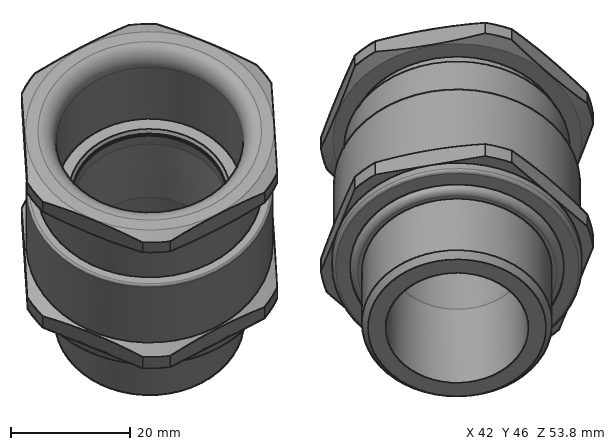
import cadquery as cq
import math

across_flats = 42.0
across_corners = 46.0
corner_radius = across_corners / 2

entry_top = 16.0
flange_top = 18.0
body_hex_top = 22.1
seat_level = 35.0
body_top = 38.0
neck_bottom = 47.1
nut_hex_bottom = 49.55
total_height = 53.75

entry_radius = 15.95
entry_chamfer_width = 1.0
entry_chamfer_height = 1.2
flange_fillet = 0.6
sleeve_radius = 20.7
sleeve_fillet = 0.45
body_hex_chamfer_drop = 0.9

body_bore_radius = 13.05
entry_bore_radius = 12.0
taper_top = 32.8
taper_bottom = 19.35

collar_radius = 19.0
neck_radius = 17.95
nut_bottom = 35.25
nut_bore_radius = 15.7
mouth_fillet = 3.05
ledge_level = 36.25
ledge_hole_radius = body_bore_radius
ledge_hole_chamfer = 0.55
nut_face_radius = 20.85
nut_hex_chamfer_drop = 0.7

ring_height = 1.35
ring_outer_radius = 17.95
ring_round = 1.3


def cylinder(radius, bottom, top):
    return cq.Workplane("XY").workplane(offset=bottom).circle(radius).extrude(top - bottom)


def revolved(points):
    """Turn a closed (radius, height) outline about the Z axis."""
    return cq.Workplane("XZ").polyline(points).close().revolve(360, (0, 0, 0), (0, 1, 0))


def hexagon(bottom, top):
    """Hexagonal prism with flats facing +X and -X."""
    half_sector = 30
    circumscribed = across_flats / math.cos(math.radians(half_sector))
    return (
        cq.Workplane("XY")
        .workplane(offset=bottom)
        .transformed(rotate=(0, 0, half_sector))
        .polygon(6, circumscribed)
        .extrude(top - bottom)
    )


def make_body():
    hex_limit = revolved([
        (0, flange_top),
        (corner_radius, flange_top),
        (corner_radius, body_hex_top - body_hex_chamfer_drop),
        (sleeve_radius, body_hex_top),
        (0, body_hex_top),
    ])
    hex_section = hexagon(flange_top, body_hex_top).intersect(hex_limit)

    entry = revolved([
        (0, 0),
        (entry_radius - entry_chamfer_width, 0),
        (entry_radius, entry_chamfer_height),
        (entry_radius, entry_top),
        (0, entry_top),
    ])
    flange = cylinder(across_flats / 2, entry_top, flange_top).faces("<Z").edges().fillet(flange_fillet)
    sleeve = cylinder(sleeve_radius, body_hex_top, body_top).faces(">Z").edges().fillet(sleeve_fillet)
    outside = entry.union(flange).union(hex_section).union(sleeve)

    bore = revolved([
        (0, 0),
        (entry_bore_radius, 0),
        (entry_bore_radius, taper_bottom),
        (body_bore_radius, taper_top),
        (body_bore_radius, seat_level),
        (collar_radius, seat_level),
        (collar_radius, body_top),
        (0, body_top),
    ])
    return outside.cut(bore)


def make_nut():
    hex_limit = revolved([
        (0, nut_hex_bottom),
        (nut_face_radius, nut_hex_bottom),
        (corner_radius, nut_hex_bottom + nut_hex_chamfer_drop),
        (corner_radius, total_height - nut_hex_chamfer_drop),
        (nut_face_radius, total_height),
        (0, total_height),
    ])
    head = hexagon(nut_hex_bottom, total_height).intersect(hex_limit)
    neck = cylinder(neck_radius, neck_bottom, nut_hex_bottom)
    collar = cylinder(collar_radius, nut_bottom, neck_bottom)

    mouth_bottom = total_height - mouth_fillet
    mouth_radius = nut_bore_radius + mouth_fillet
    arc_middle = mouth_fillet * math.sqrt(0.5)
    bore = (
        cq.Workplane("XZ")
        .moveTo(0, nut_bottom)
        .lineTo(ledge_hole_radius, nut_bottom)
        .lineTo(ledge_hole_radius, ledge_level - ledge_hole_chamfer)
        .lineTo(ledge_hole_radius + ledge_hole_chamfer, ledge_level)
        .lineTo(nut_bore_radius, ledge_level)
        .lineTo(nut_bore_radius, mouth_bottom)
        .threePointArc(
            (mouth_radius - arc_middle, mouth_bottom + arc_middle),
            (mouth_radius, total_height),
        )
        .lineTo(0, total_height)
        .close()
        .revolve(360, (0, 0, 0), (0, 1, 0))
    )
    return collar.union(neck).union(head).cut(bore)


def make_sealing_ring():
    """Gasket around the entry, against the underside of the flange."""
    ring_bottom = entry_top - ring_height
    ring = cylinder(ring_outer_radius, ring_bottom, entry_top).faces("<Z").edges().fillet(ring_round)
    return ring.cut(cylinder(entry_radius, ring_bottom, entry_top))


body = make_body()
nut = make_nut()
sealing_ring = make_sealing_ring()

result = cq.Compound.makeCompound([body.val(), nut.val(), sealing_ring.val()])